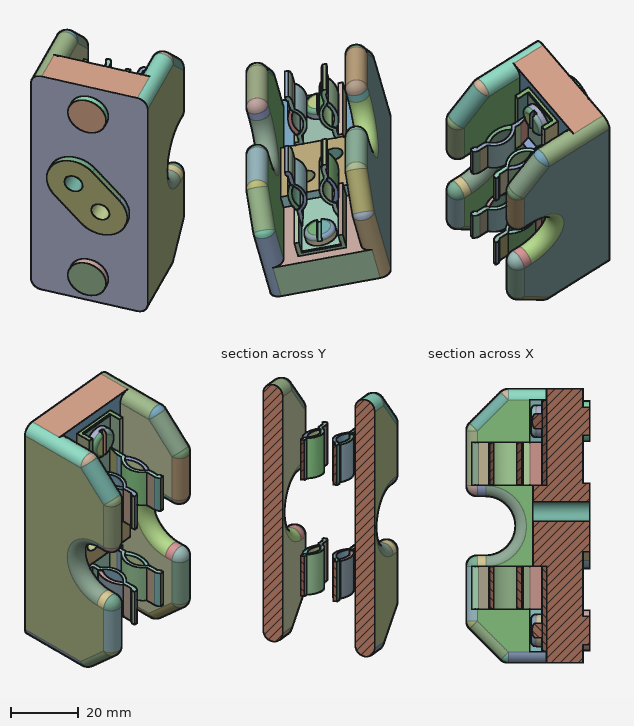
import cadquery as cq
import math


LENGTH = 80.8
WIDTH = 36.5
DEPTH = 34.5
WALL = 6.55
CORNER_CUT = 9.1
MOUTH_RADIUS = 8.65
MOUTH_CENTER_Y = 28.7
FLOOR_Y = 10.8
BLOCK_Y = 14.8

RAISE = 2.0
FOOT_RADIUS = 6.0
BOSS_RADIUS = 8.4
HOLE_RADIUS = 2.8
HOLE_OFFSET = 4.2

CLIP_INNER_Z = 11.95
CLIP_OUTER_Z = 37.1
ARM_WIDTH = 12.6
CHANNEL_WIDTH = 14.6
CHANNEL_WALL = 1.4
CHANNEL_FLOOR = 1.05
CHANNEL_Y = 15.75
LINER = 0.25
LINER_INSET = 0.4
STRAND_INSET = 0.4

ARM = 1.3
STRAND = 1.05
OUTER_STRAND = 1.2
INNER_LOW_Y = 17.7
LOOP_LOW_Y = 18.1
LOOP_MID_Y = 22.9
LOOP_HIGH_Y = 27.9
INNER_BOW_X = 2.0
OUTER_BOW_X = 7.4
OUTER_FOOT_X = 6.2
CROTCH_X = 4.85
CROTCH_LOW_Y = 18.9
CROTCH_HIGH_Y = 27.0
NECK_X = 5.7
FLARE_Y = 30.9
FLARE_MID_X = 4.7
FLARE_MID_Y = 32.1
TIP_X = 6.3
TIP_Y = 32.8
TIP_WIDTH = 1.1
TIP_EDGE = 1.05

HEAD_RADIUS = 4.8
HEAD_HEIGHT = 3.15
HEAD_ROUND = 1.3
SLOT_WIDTH = 1.3
SLOT_DEPTH = 1.5
SHANK_RADIUS = 2.0
SHANK_LENGTH = 8.1

half_length = LENGTH / 2
rim_radius = WALL / 2
half_floor = WIDTH / 2 - rim_radius
mouth_axis_radius = MOUTH_RADIUS + rim_radius
arm_x = CHANNEL_WIDTH / 2 - CHANNEL_WALL
arm_outer_z = CLIP_INNER_Z + ARM_WIDTH
screw_z = (arm_outer_z + CLIP_OUTER_Z) / 2
channel_floor_y = FLOOR_Y + CHANNEL_FLOOR
seat_y = channel_floor_y + LINER


def box(x_range, y_range, z_range):
    """Box between the given limits on each axis."""
    limits = (x_range, y_range, z_range)
    size = [high - low for low, high in limits]
    return cq.Workplane().box(*size, centered=False).translate([low for low, high in limits])


def cylinder_y(radius, start_y, end_y, x, z):
    """Cylinder along Y."""
    base = cq.Workplane("XZ", origin=(x, start_y, z))
    return base.circle(radius).extrude(start_y - end_y)




def rim_points():
    """(Y, Z) corners of the rounded rim's axis at +Z, from the mounting face to the mouth."""
    end_z = half_length - rim_radius
    rim_y = DEPTH - rim_radius
    return [
        (0, end_z),
        (rim_y - CORNER_CUT, end_z),
        (rim_y, end_z - CORNER_CUT),
        (rim_y, mouth_axis_radius),
        (MOUTH_CENTER_Y, mouth_axis_radius),
    ]


def rim_section(point, run):
    """Half disc at a (Y, Z) point, square to the (Y, Z) run and bulging away from the wall."""
    plane = cq.Plane(origin=(0, *point), xDir=(-1, 0, 0), normal=(0, *run))
    return cq.Workplane(plane).moveTo(-rim_radius, 0).threePointArc((0, rim_radius), (rim_radius, 0)).close()


def rim_pieces():
    """Half-round rods along the +Z part of the rim and the ball sectors that join them."""
    points = rim_points()
    runs = [(end[0] - start[0], end[1] - start[1]) for start, end in zip(points, points[1:])]
    rods = [rim_section(start, run).extrude(math.hypot(*run)) for start, run in zip(points, runs)]
    joints = []
    for corner, run, next_run in zip(points[1:], runs, runs[1:]):
        turn = cq.Vector(*run).getAngle(cq.Vector(*next_run))
        joints.append(rim_section(corner, run).revolve(math.degrees(turn), (0, 0), (1, 0)))
    return rods + joints


def mouth_rim():
    """Half-round rim round the bottom of the mouth."""
    section = rim_section((MOUTH_CENTER_Y, mouth_axis_radius), (-1, 0))
    return section.revolve(180, (0, mouth_axis_radius), (-1, mouth_axis_radius))


def side_wall():
    """Flat plate inside the rim axis, with the half-round rim along its free edges."""
    top = rim_points()
    bottom = [(y, -z) for y, z in reversed(top)]
    wall = (
        cq.Workplane("YZ")
        .polyline(top)
        .threePointArc((MOUTH_CENTER_Y - mouth_axis_radius, 0), bottom[0])
        .polyline(bottom[1:], includeCurrent=True)
        .close()
        .extrude(rim_radius, both=True)
        .union(mouth_rim())
    )
    for piece in rim_pieces():
        wall = wall.union(piece).union(piece.mirror("XY"))
    return wall


def mounting_face_features():
    """Two round feet and a slanted boss, all raised by the same height."""
    features = cylinder_y(FOOT_RADIUS, -RAISE, 0, 0, screw_z)
    features = features.union(features.mirror("XY"))
    boss_length = 2 * math.hypot(HOLE_OFFSET, HOLE_OFFSET) + 2 * BOSS_RADIUS
    boss = cq.Workplane("XZ").slot2D(boss_length, 2 * BOSS_RADIUS, angle=-45).extrude(RAISE)
    return features.union(boss)


def make_housing():
    """Floor and raised block between the two walls, with bores for the screws and through holes."""
    floor = box((-half_floor, half_floor), (0, FLOOR_Y), (-half_length, half_length))
    block = box((-half_floor, half_floor), (0, BLOCK_Y), (-CLIP_INNER_Z, CLIP_INNER_Z))
    housing = floor.union(block).union(mounting_face_features())
    for side in (-1, 1):
        housing = housing.union(side_wall().translate((side * half_floor, 0, 0)))
        through_hole = cylinder_y(HOLE_RADIUS, -RAISE, BLOCK_Y, side * HOLE_OFFSET, -side * HOLE_OFFSET)
        housing = housing.cut(through_hole)
        housing = housing.cut(screw_shank(side))
    return housing




def channel():
    """U-shaped base over the full length of the clip, with a thin liner on its floor."""
    half_channel = CHANNEL_WIDTH / 2
    length = (CLIP_INNER_Z, CLIP_OUTER_Z)
    base = box((-half_channel, half_channel), (FLOOR_Y, CHANNEL_Y), length)
    base = base.cut(box((-arm_x, arm_x), (channel_floor_y, CHANNEL_Y), length))
    liner = box((-arm_x, arm_x), (channel_floor_y, seat_y), (CLIP_INNER_Z, CLIP_OUTER_Z - LINER_INSET))
    return base.union(liner)


def inner_strand():
    """Arm at +X: tapered foot, strand bowed towards the middle, neck and flared tip."""
    outer_side = (
        cq.Workplane("XY", origin=(0, 0, CLIP_INNER_Z))
        .moveTo(arm_x, channel_floor_y)
        .lineTo(arm_x, LOOP_LOW_Y)
        .lineTo(CROTCH_X, CROTCH_LOW_Y)
        .threePointArc((INNER_BOW_X + STRAND, LOOP_MID_Y), (CROTCH_X, CROTCH_HIGH_Y))
        .lineTo(NECK_X, LOOP_HIGH_Y)
        .lineTo(NECK_X, FLARE_Y)
        .lineTo(TIP_X, TIP_Y - TIP_EDGE)
        .lineTo(TIP_X, TIP_Y)
    )
    outline = (
        outer_side.lineTo(TIP_X - TIP_WIDTH, TIP_Y)
        .threePointArc((FLARE_MID_X, FLARE_MID_Y), (NECK_X - ARM, FLARE_Y))
        .lineTo(NECK_X - ARM, LOOP_HIGH_Y)
        .threePointArc((INNER_BOW_X, LOOP_MID_Y), (arm_x - ARM, INNER_LOW_Y))
        .lineTo(arm_x - ARM, CHANNEL_Y)
        .lineTo(arm_x - LINER, seat_y)
        .lineTo(arm_x - LINER, channel_floor_y)
        .close()
    )
    return outline.extrude(ARM_WIDTH)


def outer_strand():
    """Strand at +X bowed away from the middle, closing the loop."""
    return (
        cq.Workplane("XY", origin=(0, 0, CLIP_INNER_Z + STRAND_INSET))
        .moveTo(OUTER_FOOT_X, LOOP_LOW_Y)
        .threePointArc((OUTER_BOW_X, LOOP_MID_Y), (NECK_X, LOOP_HIGH_Y))
        .lineTo(CROTCH_X, CROTCH_HIGH_Y)
        .threePointArc((OUTER_BOW_X - OUTER_STRAND, LOOP_MID_Y), (CROTCH_X, CROTCH_LOW_Y))
        .lineTo(arm_x, LOOP_LOW_Y)
        .close()
        .extrude(ARM_WIDTH - 2 * STRAND_INSET)
    )


def make_clip(end):
    """Clip at the +Z or -Z end, drilled for its screw."""
    arm = inner_strand().union(outer_strand())
    clip = channel().union(arm).union(arm.mirror("YZ"))
    if end < 0:
        clip = clip.mirror("XY")
    return clip.cut(screw_shank(end))




def screw_shank(end):
    """Shank from the seat of the head into the floor; also cuts its own bore."""
    return cylinder_y(SHANK_RADIUS, seat_y - SHANK_LENGTH, seat_y, 0, end * screw_z)


def make_screw(end):
    """Slotted round-edged head on a plain shank."""
    z = end * screw_z
    head_y = seat_y + HEAD_HEIGHT
    head = cylinder_y(HEAD_RADIUS, seat_y, head_y, 0, z).faces(">Y").edges().fillet(HEAD_ROUND)
    slot = box(
        (-SLOT_WIDTH / 2, SLOT_WIDTH / 2),
        (head_y - SLOT_DEPTH, head_y),
        (z - HEAD_RADIUS, z + HEAD_RADIUS),
    )
    return head.cut(slot).union(screw_shank(end))


housing = make_housing()
clips = [make_clip(end) for end in (-1, 1)]
screws = [make_screw(end) for end in (-1, 1)]
result = cq.Compound.makeCompound([body.val() for body in (housing, *clips, *screws)])